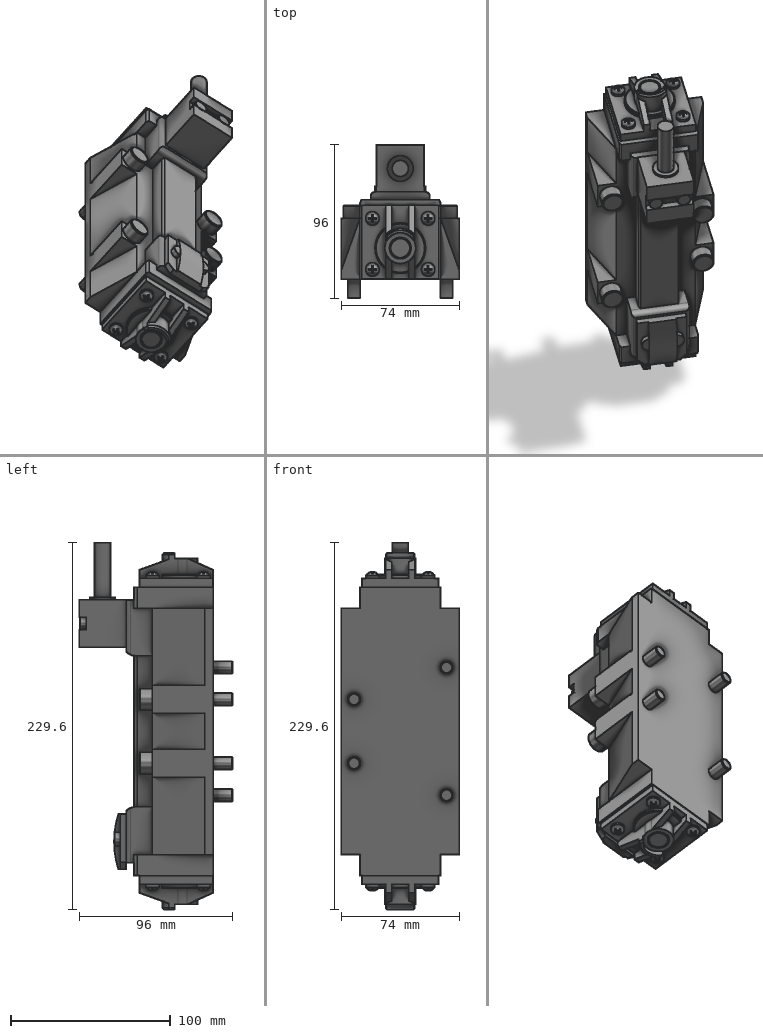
import cadquery as cq


BASE_WIDTH = 74.0
BASE_LENGTH = 154.3
BASE_HEIGHT = 38.0
CORE_WIDTH = 50.5
CORE_LENGTH = 180.5
CORE_HEIGHT = 49.8
CORE_BEVEL_HEIGHT = 2.3
CORE_BEVEL_WIDTH = 1.0
SPINE_WIDTH = 25.7

POCKET_FOOT = 5.5
LUG_LENGTH = 17.5

SCREW_X = 29.0
LEFT_SCREW_Z = 20.0
RIGHT_SCREW_Z = 2 * LEFT_SCREW_Z
SCREW_HEAD_DIAMETER = 13.5
SCREW_HEAD_HEIGHT = 8.3
SCREW_HEAD_BEVEL = 0.7
SHANK_DIAMETER = 8.0
SHANK_LENGTH = 12.0
SHANK_BEVEL = 0.57

PAD_WIDTH = 37.0
PAD_TOP = 54.6
PAD_INNER_Z = 47.3
PAD_OUTER_Z = 82.2
PAD_ROUND = 2.5
PAD_END_ROUND = 2.8
PAD_END_ROUND_MIDDLE_DROP = 2.0
PAD_END_ROUND_MIDDLE_RISE = 1.0

STUD_X = 9.0
STUD_SINK = 0.5

SOLENOID_WIDTH = 29.8
SOLENOID_TOP = 84.0
SOLENOID_Z = 67.5
CABLE_DIAMETER = 10.0
CABLE_END_Z = 118.0
GROMMET_DIAMETER = 16.0
GROMMET_HEIGHT = 1.4
CABLE_Y = (PAD_TOP + SOLENOID_TOP) / 2
SOLENOID_SLOT_WIDTH = 8.0
SOLENOID_SLOT_DEPTH = 4.4

PLUG_WIDTH = 31.7
PLUG_INNER_Z = 51.7
PLUG_OUTER_Z = 86.3
PLUG_PLATE_TOP = 58.3
PLUG_CROWN_TOP = 62.2
PLUG_CROWN_SHOULDER = 1.1
PLUG_CORNER = 4.4
PLUG_CROWN_WIDTH = 2 * STUD_X
PLUG_STUD_DIAMETER = 9.0

CAP_WIDTH = 48.0
CAP_FOOT = 0.2
CAP_HEIGHT = 46.4
CAP_THICKNESS = 5.5
CAP_TOP = CORE_LENGTH / 2 + CAP_THICKNESS
CAP_SCREW_X = 17.5
CAP_SCREW_YS = (6.2, 38.0)
CAP_SCREW_DIAMETER = 8.5
CAP_SCREW_RIM = 1.5
CAP_SCREW_DOME_DIAMETER = 7.0
CAP_SCREW_DOME_START = 2.3
CAP_SCREW_HEIGHT = 4.1
CAP_SCREW_DOME_FULLNESS = 0.8
CROSS_LENGTH = 4.5
CROSS_WIDTH = 1.0
CROSS_DEPTH = 1.4

HUB_Y = 19.5
HUB_DIAMETER = 19.3
HUB_HEIGHT = 12.5
HUB_GROOVE_OUTER = 13.5
HUB_GROOVE_INNER = 12.0
HUB_GROOVE_DEPTH = 1.1
DISC_DIAMETER = 31.7
DISC_HEIGHT = 2.5
DISC_BEVEL = 0.7
ARM_OUTER_X = 9.2
ARM_INNER_X = 5.3
ARM_END_HEIGHT = 5.3
ARM_PEAK_YS = (16.0, 26.6)
GUARD_DIAMETER = 24.8
GUARD_START_Y = 24.0
GUARD_HEIGHT = 15.8
GUARD_BEVEL = 1.1


def centred_box(width, y_range, z_range):
    """Box centred on x = 0, between two limits along Y and along Z."""
    y_start, y_end = y_range
    z_start, z_end = z_range
    block = cq.Workplane("XY").box(width, y_end - y_start, z_end - z_start, centered=(True, False, False))
    return block.translate((0, y_start, z_start))


def cylinder_y(diameter, x, z, y_start, y_end):
    """Cylinder along Y."""
    return (
        cq.Workplane("XZ", origin=(x, y_start, z)).circle(diameter / 2).extrude(y_start - y_end)
    )


def cylinder_z(diameter, x, y, z_start, z_end):
    """Cylinder along Z."""
    return (
        cq.Workplane("XY", origin=(x, y, z_start)).circle(diameter / 2).extrude(z_end - z_start)
    )


def bevelled_bar(width, z_range):
    """Bar along Z with its two upper long edges bevelled."""
    half = width / 2
    bevel_y = CORE_HEIGHT - CORE_BEVEL_HEIGHT
    bevel_x = half - CORE_BEVEL_WIDTH
    outline = [
        (-half, 0), (half, 0), (half, bevel_y),
        (bevel_x, CORE_HEIGHT), (-bevel_x, CORE_HEIGHT), (-half, bevel_y),
    ]
    z_start, z_end = z_range
    return cq.Workplane("XY", origin=(0, 0, z_start)).polyline(outline).close().extrude(z_end - z_start)


def side_pockets(side, screw_z):
    """Sloped pockets on one side, between the lugs and out to both ends of the base."""
    outer = side * BASE_WIDTH / 2
    inner = side * CORE_WIDTH / 2
    wedge = [(outer, POCKET_FOOT), (outer, BASE_HEIGHT), (inner, BASE_HEIGHT)]
    gap = screw_z - LUG_LENGTH / 2
    end_start = screw_z + LUG_LENGTH / 2
    end = BASE_LENGTH / 2
    pockets = cq.Workplane("XY")
    for low, high in ((-end, -end_start), (-gap, gap), (end_start, end)):
        pocket = cq.Workplane("XY", origin=(0, 0, low)).polyline(wedge).close().extrude(high - low)
        pockets = pockets.add(pocket)
    return pockets.combine()


def make_body():
    half_base = BASE_LENGTH / 2
    half_core = CORE_LENGTH / 2
    body = centred_box(BASE_WIDTH, (0, BASE_HEIGHT), (-half_base, half_base))
    body = body.cut(side_pockets(-1, LEFT_SCREW_Z)).cut(side_pockets(1, RIGHT_SCREW_Z))
    body = body.union(bevelled_bar(SPINE_WIDTH, (-half_base, half_base)))
    body = body.union(bevelled_bar(CORE_WIDTH, (half_base, half_core)))
    return body.union(bevelled_bar(CORE_WIDTH, (-half_core, -half_base)))


def mounting_screw(x, z):
    head_top = BASE_HEIGHT + SCREW_HEAD_HEIGHT
    head = cylinder_y(SCREW_HEAD_DIAMETER, x, z, BASE_HEIGHT, head_top)
    head = head.faces(">Y").chamfer(SCREW_HEAD_BEVEL)
    shank = cylinder_y(SHANK_DIAMETER, x, z, -SHANK_LENGTH, BASE_HEIGHT)
    return head.union(shank.faces("<Y").chamfer(SHANK_BEVEL))


def make_pad():
    """Pad near the +Z end, rounded along its sides and its inner end."""
    round_middle = (PAD_TOP - PAD_END_ROUND_MIDDLE_DROP, PAD_INNER_Z + PAD_END_ROUND_MIDDLE_RISE)
    pad = (
        cq.Workplane("YZ", origin=(-PAD_WIDTH / 2, 0, 0))
        .moveTo(0, PAD_INNER_Z)
        .lineTo(CORE_HEIGHT, PAD_INNER_Z)
        .threePointArc(round_middle, (PAD_TOP, PAD_INNER_Z + PAD_END_ROUND))
        .lineTo(PAD_TOP, PAD_OUTER_Z)
        .lineTo(0, PAD_OUTER_Z)
        .close()
        .extrude(PAD_WIDTH)
    )
    return pad.faces(">Y").edges("|Z").fillet(PAD_ROUND)


def stud_pair(diameter, z, bottom, top):
    """Two studs along Y, one on either side of x = 0."""
    return cylinder_y(diameter, -STUD_X, z, bottom, top).union(cylinder_y(diameter, STUD_X, z, bottom, top))


def make_solenoid():
    half = SOLENOID_WIDTH / 2
    bottom_z = SOLENOID_Z - half
    top_z = SOLENOID_Z + half
    block = centred_box(SOLENOID_WIDTH, (PAD_TOP, SOLENOID_TOP), (bottom_z, top_z))
    slot_floor = SOLENOID_TOP - SOLENOID_SLOT_DEPTH
    half_slot = SOLENOID_SLOT_WIDTH / 2
    slot = centred_box(
        SOLENOID_WIDTH, (slot_floor, SOLENOID_TOP), (SOLENOID_Z - half_slot, SOLENOID_Z + half_slot)
    )
    studs = stud_pair(SOLENOID_SLOT_WIDTH, SOLENOID_Z, slot_floor, SOLENOID_TOP - STUD_SINK)
    block = block.cut(slot).union(studs)
    block = block.union(cylinder_z(GROMMET_DIAMETER, 0, CABLE_Y, top_z, top_z + GROMMET_HEIGHT))
    return block.union(cylinder_z(CABLE_DIAMETER, 0, CABLE_Y, top_z, CABLE_END_Z))


def make_plug():
    """Plate with clipped lower corners under a crown that is arched along Z."""
    plate = centred_box(PLUG_WIDTH, (PAD_TOP, PLUG_PLATE_TOP), (-PLUG_OUTER_Z, -PLUG_INNER_Z))
    plate = plate.faces("<Z").edges("|Y").chamfer(PLUG_CORNER)
    middle_z = -(PLUG_INNER_Z + PLUG_OUTER_Z) / 2
    shoulder = PLUG_PLATE_TOP + PLUG_CROWN_SHOULDER
    crown = (
        cq.Workplane("YZ", origin=(-PLUG_CROWN_WIDTH / 2, 0, 0))
        .moveTo(PAD_TOP, -PLUG_OUTER_Z)
        .lineTo(shoulder, -PLUG_OUTER_Z)
        .threePointArc((PLUG_CROWN_TOP, middle_z), (shoulder, -PLUG_INNER_Z))
        .lineTo(PAD_TOP, -PLUG_INNER_Z)
        .close()
        .extrude(PLUG_CROWN_WIDTH)
    )
    studs = stud_pair(PLUG_STUD_DIAMETER, -SOLENOID_Z, PAD_TOP, PLUG_CROWN_TOP - STUD_SINK)
    return plate.union(crown).union(studs)


def cap_screw(x, y):
    """Domed screw head with a cross recess."""
    rim = CAP_SCREW_DIAMETER / 2
    dome = CAP_SCREW_DOME_DIAMETER / 2
    dome_rise = CAP_SCREW_HEIGHT - CAP_SCREW_DOME_START
    dome_middle = (dome / 2, CAP_SCREW_DOME_START + CAP_SCREW_DOME_FULLNESS * dome_rise)
    head = (
        cq.Workplane("XZ")
        .lineTo(rim, 0)
        .lineTo(rim, CAP_SCREW_RIM)
        .lineTo(dome, CAP_SCREW_DOME_START)
        .threePointArc(dome_middle, (0, CAP_SCREW_HEIGHT))
        .close()
        .revolve(360, (0, 0), (0, 1))
    )
    cross = (
        cq.Workplane("XY", origin=(0, 0, CAP_SCREW_HEIGHT - CROSS_DEPTH))
        .rect(CROSS_LENGTH, CROSS_WIDTH)
        .extrude(CAP_SCREW_HEIGHT)
    )
    head = head.cut(cross).cut(cross.rotate((0, 0, 0), (0, 0, 1), 90))
    return head.translate((x, y, CAP_TOP))


def cap_arms():
    """Two parallel arms with sloped ends."""
    peak = CAP_TOP + HUB_HEIGHT
    end_top = CAP_TOP + ARM_END_HEIGHT
    outline = [
        (CAP_FOOT, CAP_TOP), (CAP_FOOT, end_top), (ARM_PEAK_YS[0], peak),
        (ARM_PEAK_YS[1], peak), (CAP_HEIGHT, end_top), (CAP_HEIGHT, CAP_TOP),
    ]
    arm = (
        cq.Workplane("YZ", origin=(ARM_INNER_X, 0, 0))
        .polyline(outline)
        .close()
        .extrude(ARM_OUTER_X - ARM_INNER_X)
    )
    return arm.union(arm.mirror("YZ"))


def cap_hub():
    """Hub on a disc, with a taller guard along its +Y side."""
    hub = cylinder_z(HUB_DIAMETER, 0, HUB_Y, CAP_TOP, CAP_TOP + HUB_HEIGHT)

    guard_top = CAP_TOP + GUARD_HEIGHT
    guard = cylinder_z(GUARD_DIAMETER, 0, HUB_Y, CAP_TOP, guard_top).faces(">Z").chamfer(GUARD_BEVEL)
    guard_bounds = centred_box(
        2 * ARM_OUTER_X, (GUARD_START_Y, HUB_Y + GUARD_DIAMETER), (CAP_TOP, guard_top)
    )
    guard_bounds = guard_bounds.faces(">Z").edges("|Y").chamfer(GUARD_BEVEL)
    guard = guard.intersect(guard_bounds).cut(cylinder_z(HUB_DIAMETER, 0, HUB_Y, CAP_TOP, guard_top))

    disc = cylinder_z(DISC_DIAMETER, 0, HUB_Y, CAP_TOP, CAP_TOP + DISC_HEIGHT)
    disc = disc.faces(">Z").chamfer(DISC_BEVEL)
    return disc.union(hub).union(guard)


def hub_groove():
    """Ring to be cut into the top of the hub."""
    top = CAP_TOP + HUB_HEIGHT
    floor = top - HUB_GROOVE_DEPTH
    ring = cylinder_z(HUB_GROOVE_OUTER, 0, HUB_Y, floor, top)
    return ring.cut(cylinder_z(HUB_GROOVE_INNER, 0, HUB_Y, floor, top))


def make_end_cap():
    """End cap on the +Z end."""
    cap = centred_box(CAP_WIDTH, (CAP_FOOT, CAP_HEIGHT), (CORE_LENGTH / 2, CAP_TOP))
    cap = cap.union(cap_arms()).union(cap_hub()).cut(hub_groove())
    for x in (-CAP_SCREW_X, CAP_SCREW_X):
        for y in CAP_SCREW_YS:
            cap = cap.union(cap_screw(x, y))
    return cap


pad = make_pad()
end_cap = make_end_cap()

result = make_body()
for part in (pad, pad.mirror("XY"), make_solenoid(), make_plug(), end_cap, end_cap.mirror("XY")):
    result = result.union(part)
for direction in (-1, 1):
    result = result.union(mounting_screw(-SCREW_X, direction * LEFT_SCREW_Z))
    result = result.union(mounting_screw(SCREW_X, direction * RIGHT_SCREW_Z))